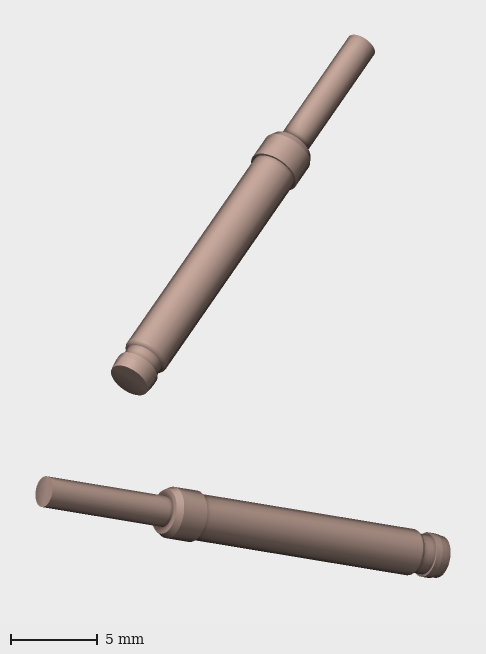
import cadquery as cq

total_length = 27.3

pin_diameter = 1.8
pin_length = 8.3

collar_diameter = 3.0
collar_length = 2.0
collar_bevel_length = 0.4
collar_bevel_depth = 0.2

barrel_diameter = 2.7
crimp_length = 0.25
crimp_radius = 0.4

neck_diameter = 2.3
neck_length = 0.75
head_diameter = 2.6
head_length = 1.0
nose_length = 0.6
nose_tip_diameter = 2.43

barrel_length = total_length - pin_length - collar_length - neck_length - head_length

barrel_front = -barrel_length
neck_front = barrel_front - neck_length
tip = neck_front - head_length
collar_back = collar_length
pin_back = collar_back + pin_length


def make_body():
    """Turn the whole part from one half profile about the Y axis."""
    pin_radius = pin_diameter / 2
    collar_radius = collar_diameter / 2
    barrel_radius = barrel_diameter / 2
    neck_radius = neck_diameter / 2
    head_radius = head_diameter / 2
    half_profile = (
        cq.Workplane("XY")
        .moveTo(0, tip)
        .lineTo(nose_tip_diameter / 2, tip)
        .lineTo(head_radius, tip + nose_length)
        .lineTo(head_radius, neck_front)
        .lineTo(neck_radius, neck_front)
        .lineTo(neck_radius, barrel_front)
        .radiusArc((barrel_radius, barrel_front + crimp_length), -crimp_radius)
        .lineTo(barrel_radius, 0)
        .lineTo(collar_radius, 0)
        .lineTo(collar_radius, collar_back - collar_bevel_length)
        .lineTo(collar_radius - collar_bevel_depth, collar_back)
        .lineTo(pin_radius, collar_back)
        .lineTo(pin_radius, pin_back)
        .lineTo(0, pin_back)
        .close()
    )
    return half_profile.revolve(360, (0, 0, 0), (0, 1, 0))


result = make_body()